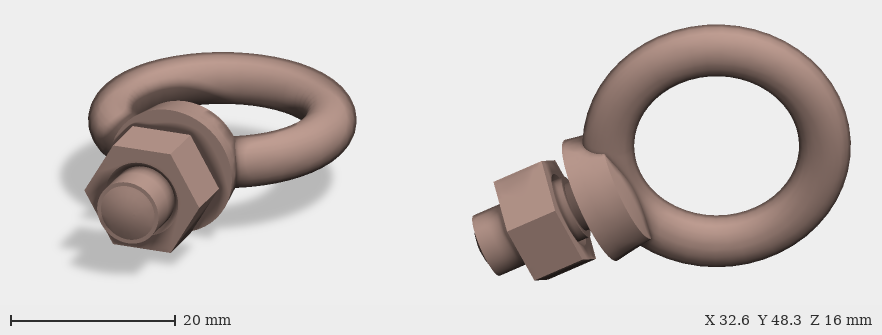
import cadquery as cq
import math


ring_inner_diameter = 20.0
ring_wire_diameter = 6.3
ring_radius = (ring_inner_diameter + ring_wire_diameter) / 2

collar_base_y = -17.0
collar_base_radius = 8.0
collar_height = 5.0
collar_top_radius = 7.2
collar_crown_height = 1.0
collar_top_y = collar_base_y + collar_height
collar_crown_y = collar_top_y + collar_crown_height

shank_diameter = 8.0
shank_radius = shank_diameter / 2
neck_radius = ring_wire_diameter / 2
neck_length = 2.0
shank_length = 15.0
tip_radius = 3.5
tip_height = 0.9
neck_end_y = collar_base_y - neck_length
tip_y = collar_base_y - shank_length
tip_base_y = tip_y + tip_height

nut_across_flats = 13.0
nut_across_corners = nut_across_flats / math.cos(math.radians(30))
nut_thickness = 6.5
nut_gap = 3.0
nut_countersink_diameter = 9.5
nut_countersink_depth = (nut_countersink_diameter - shank_diameter) / 2
nut_top_y = collar_base_y - nut_gap


def make_ring():
    """Torus lying in the XY plane."""
    return cq.Workplane(cq.Solid.makeTorus(ring_radius, ring_wire_diameter / 2))


def make_collar_and_shank():
    """Crowned conical collar, relieved neck and domed shank, turned about Y."""
    crown_radius = (collar_top_radius**2 + collar_crown_height**2) / (2 * collar_crown_height)
    crown_mid_x = collar_top_radius / 2
    crown_mid_y = collar_crown_y - crown_radius + math.sqrt(crown_radius**2 - crown_mid_x**2)

    dome_radius = (tip_radius**2 + tip_height**2) / (2 * tip_height)
    dome_mid_x = tip_radius / 2
    dome_mid_y = tip_y + dome_radius - math.sqrt(dome_radius**2 - dome_mid_x**2)

    profile = (
        cq.Workplane("XY")
        .moveTo(0, collar_crown_y)
        .threePointArc((crown_mid_x, crown_mid_y), (collar_top_radius, collar_top_y))
        .lineTo(collar_base_radius, collar_base_y)
        .lineTo(neck_radius, collar_base_y)
        .lineTo(neck_radius, neck_end_y)
        .lineTo(shank_radius, neck_end_y)
        .lineTo(shank_radius, tip_base_y)
        .lineTo(tip_radius, tip_base_y)
        .threePointArc((dome_mid_x, dome_mid_y), (0, tip_y))
        .close()
    )
    return profile.revolve(360, (0, 0), (0, 1))


def make_eye_bolt():
    """Ring, collar and shank as one solid."""
    return make_ring().union(make_collar_and_shank()).solids()


def make_nut():
    """Hexagon nut with corners along X and both ends of its bore countersunk."""
    blank = (
        cq.Workplane("XZ", origin=(0, nut_top_y, 0))
        .polygon(6, nut_across_corners)
        .circle(shank_radius)
        .extrude(nut_thickness)
    )
    return blank.edges("%CIRCLE").chamfer(nut_countersink_depth).solids()


eye_bolt = make_eye_bolt()
nut = make_nut()

result = cq.Compound.makeCompound([eye_bolt.val(), nut.val()])